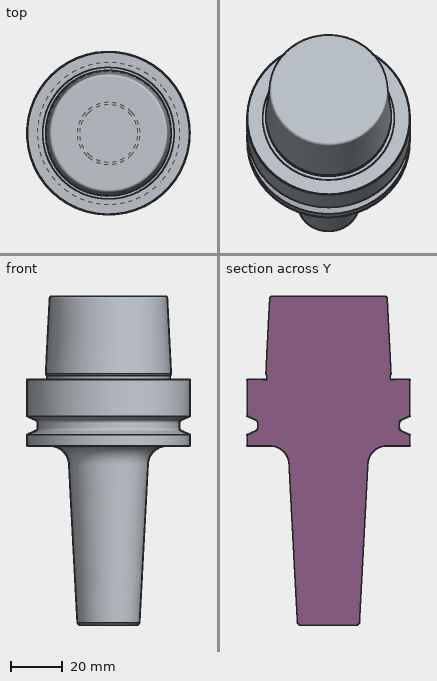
import cadquery as cq
import math

total_height = 126.9
flange_bottom = 69.0
flange_top = 94.9

flange_radius = 31.5
flange_edge_chamfer = 0.3
groove_center = 77.0
groove_floor_radius = 27.4
groove_floor_width = 3.4
groove_flank_angle = 24.0
groove_corner_radius = 1.0

tip_radius = 12.0
tip_chamfer = 0.9
neck_taper_angle = 3.0
neck_fillet_radius = 7.1
neck_root_radius = tip_radius + flange_bottom * math.tan(math.radians(neck_taper_angle))

shank_top_radius = 22.7
shank_base_radius = 24.2
shank_edge_radius = 1.0

undercut_radius = 23.9
undercut_top = 97.0
undercut_wall_top = 96.2
undercut_outer_radius = 25.4
undercut_floor = 94.7

select_margin = 0.06


def revolve_profile(points):
    return cq.Workplane("XZ").polyline(points).close().revolve(360, (0, 0, 0), (0, 1, 0))


def circles_within(height, radius):
    """Select the circular edges at one height that are no larger than the radius."""
    reach = radius + select_margin
    return cq.selectors.BoxSelector(
        (-reach, -reach, height - select_margin),
        (reach, reach, height + select_margin),
        boundingbox=True,
    )


def make_neck():
    """Build the cone from the chamfered tip to the flange underside."""
    return revolve_profile([
        (0, 0),
        (tip_radius - tip_chamfer, 0),
        (tip_radius, tip_chamfer),
        (neck_root_radius, flange_bottom),
        (0, flange_bottom),
    ])


def make_flange():
    """Build the flange with its gripper groove and a shallow recess in its top."""
    half_floor = groove_floor_width / 2
    depth = flange_radius - groove_floor_radius
    half_mouth = half_floor + depth * math.tan(math.radians(groove_flank_angle))
    flange = revolve_profile([
        (0, flange_bottom),
        (flange_radius - flange_edge_chamfer, flange_bottom),
        (flange_radius, flange_bottom + flange_edge_chamfer),
        (flange_radius, groove_center - half_mouth),
        (groove_floor_radius, groove_center - half_floor),
        (groove_floor_radius, groove_center + half_floor),
        (flange_radius, groove_center + half_mouth),
        (flange_radius, flange_top - flange_edge_chamfer),
        (flange_radius - flange_edge_chamfer, flange_top),
        (undercut_outer_radius, flange_top),
        (undercut_outer_radius, undercut_floor),
        (0, undercut_floor),
    ])
    for side in (-1, 1):
        corner = circles_within(groove_center + side * half_floor, groove_floor_radius)
        flange = flange.edges(corner).fillet(groove_corner_radius)
    return flange


def make_shank():
    """Build the shank, narrowing at its base into the undercut."""
    shank = revolve_profile([
        (0, undercut_floor),
        (undercut_radius, undercut_floor),
        (undercut_radius, undercut_wall_top),
        (shank_base_radius, undercut_top),
        (shank_top_radius, total_height),
        (0, total_height),
    ])
    return shank.faces(">Z").edges().fillet(shank_edge_radius)


body = make_neck().union(make_flange()).union(make_shank())
result = body.edges(circles_within(flange_bottom, neck_root_radius)).fillet(neck_fillet_radius)